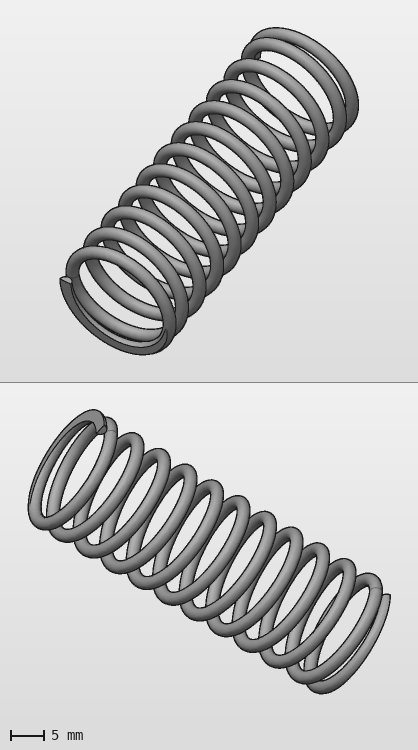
import cadquery as cq

outer_diameter = 20.0
wire_diameter = 2.0
free_length = 54.0
active_turns = 10
end_pitch = wire_diameter

wire_radius = wire_diameter / 2
coil_radius = outer_diameter / 2 - wire_radius
active_length = free_length - 2 * end_pitch
active_pitch = active_length / active_turns


def helix_edges(pitch, length, start):
    """Edges of a left-handed helix about Z, from height `start` on the +X side."""
    helix = cq.Wire.makeHelix(pitch, length, coil_radius, lefthand=True)
    return helix.translate(cq.Vector(0, 0, start)).Edges()


def wire_path():
    """Centre line of the wire: closed end turn, active turns, closed end turn."""
    return cq.Wire.assembleEdges(
        helix_edges(end_pitch, end_pitch, 0)
        + helix_edges(active_pitch, active_length, end_pitch)
        + helix_edges(end_pitch, end_pitch, free_length - end_pitch)
    )


def coiled_wire():
    """Round wire swept along the whole path, before grinding."""
    section = cq.Workplane("XZ").center(coil_radius, 0).circle(wire_radius)
    path = cq.Workplane(obj=wire_path())
    return section.sweep(path, isFrenet=True, transition="transformed")


def ground_envelope():
    """Block between the two ground faces, wide enough to clear the coil all round."""
    width = 2 * outer_diameter
    return cq.Workplane("XY").box(width, width, free_length, centered=(True, True, False))


spring = coiled_wire().intersect(ground_envelope())

wire_ends_turned = spring.rotate((0, 0, 0), (0, 0, 1), 180)
result = wire_ends_turned.rotate((0, 0, 0), (1, 0, 0), -90)